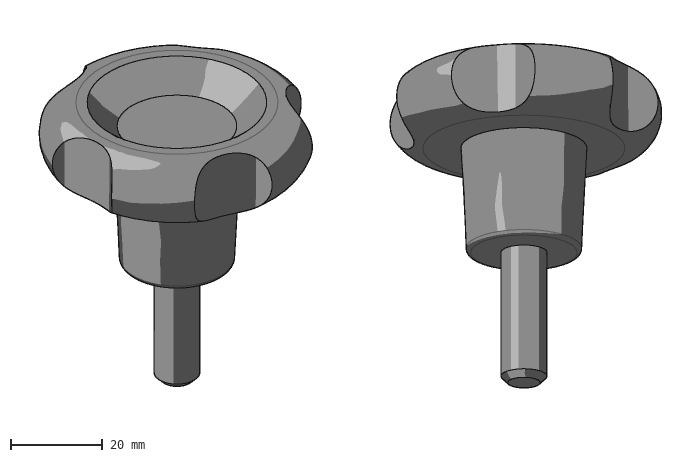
import cadquery as cq

total_height = 70.0
head_height = 16.0
pin_length = 29.95
hub_height = total_height - head_height - pin_length

head_diameter = 60.0
head_radius = head_diameter / 2
rim_radius = head_height / 2
flat_radius = head_radius - rim_radius
dish_top_radius = 19.5
dish_floor_radius = 13.0
dish_depth = 6.0

scallop_count = 5
scallop_radius = 12.0
scallop_inner_distance = 24.0
scallop_center_distance = scallop_inner_distance + scallop_radius
first_scallop_angle = -90.0

hub_top_radius = 13.7
hub_bottom_radius = 12.5
hub_fillet = 1.0
pin_diameter = 10.0
pin_radius = pin_diameter / 2
pin_chamfer = 1.5

hub_bottom = pin_length
head_bottom = hub_bottom + hub_height
head_middle = head_bottom + rim_radius


def make_head():
    """Disc with a full-round rim and a conical dish in its top."""
    return (
        cq.Workplane("XZ")
        .moveTo(0, head_bottom)
        .lineTo(flat_radius, head_bottom)
        .threePointArc((head_radius, head_middle), (flat_radius, total_height))
        .lineTo(dish_top_radius, total_height)
        .lineTo(dish_floor_radius, total_height - dish_depth)
        .lineTo(0, total_height - dish_depth)
        .close()
        .revolve(360, (0, 0), (0, 1))
    )


def make_scallops():
    """Vertical cylinders that cut the finger grips, evenly spaced around the head."""
    return (
        cq.Workplane("XY", origin=(0, 0, head_bottom))
        .polarArray(scallop_center_distance, first_scallop_angle, 360, scallop_count)
        .circle(scallop_radius)
        .extrude(head_height)
    )


def make_hub():
    """Hub tapering down from the head, rounded at its lower edge."""
    hub = (
        cq.Workplane("XY", origin=(0, 0, hub_bottom))
        .circle(hub_bottom_radius)
        .workplane(offset=hub_height)
        .circle(hub_top_radius)
        .loft(ruled=True)
    )
    return hub.faces("<Z").edges().fillet(hub_fillet)


def make_pin():
    """Pin with a chamfered tip."""
    pin = cq.Workplane("XY").circle(pin_radius).extrude(pin_length)
    return pin.faces("<Z").edges().chamfer(pin_chamfer)


head = make_head().cut(make_scallops())
result = head.union(make_hub()).union(make_pin())